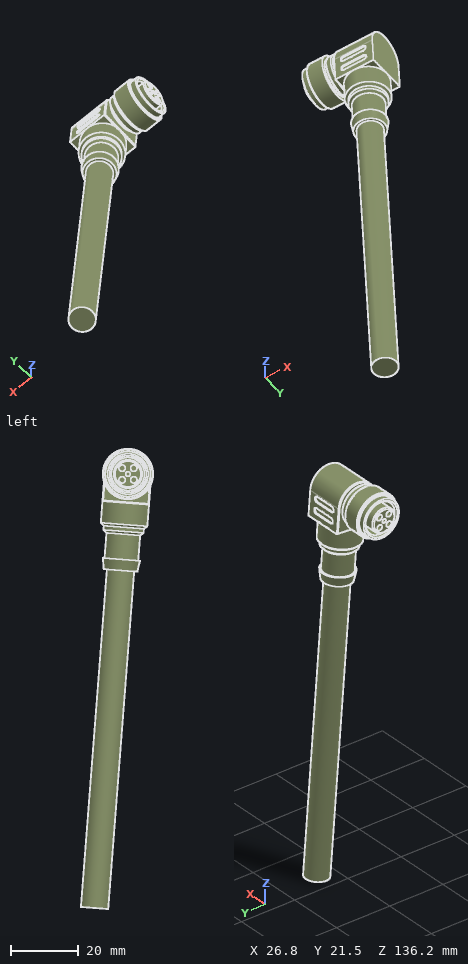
import cadquery as cq
import math


tilt = 4.4
housing_radius = 7.0
block_depth = 8.6
housing_chamfer = 0.3
nose_radius = 4.9
nose_end = -12.3

shoulder_radius = 6.0
sleeve_radius = 5.0
collar_radius = 5.6
tail_end_drop = 15.0
shoulder_top_drop = 15.8
shoulder_end_drop = 17.0
sleeve_top_drop = 17.8
collar_drop = 25.3
boot_end_drop = 28.6

slot_length = 9.0
slot_width = 1.9
slot_depth = 0.4
slot_drops = (1.6, 5.5)

nut_front = -18.4
grip_front = -16.4
grip_end = -10.6
groove_end = -9.8
rear_ring_end = -8.2
nut_rear = -7.8
grip_radius = 7.5
nut_radius = 6.7
groove_radius = 6.3
nut_rear_radius = 6.1
nut_bore_radius = 5.5
grip_chamfer = 0.3
mouth_chamfer = 0.5

overall_height = 136.2
cable_radius = 4.1
cable_top_drop = sleeve_top_drop
slope = math.radians(tilt)
height_below_axis = overall_height - grip_radius
cable_end_drop = (height_below_axis - cable_radius * math.sin(slope)) / math.cos(slope)

insert_front = -19.8
insert_radius = 4.2
insert_chamfer = 0.4
contact_count = 4
contact_circle_radius = 2.5
contact_hole_radius = 1.0
centre_hole_radius = 0.7
contact_hole_depth = 4.1


def along_plug(start, end, radius):
    """Cylinder on the X axis."""
    return cq.Workplane("YZ").workplane(offset=start).circle(radius).extrude(end - start)


def turned_on_plug_axis(profile):
    """Revolve (x, radius) points round the X axis."""
    return cq.Workplane("XY").polyline(profile).close().revolve(360, (0, 0, 0), (1, 0, 0))


def tilted(body):
    """Turn a body built straight down -Z to the slope of the cable."""
    return body.rotate((0, 0, 0), (1, 0, 0), tilt)


def make_block():
    """Round-topped block with grip slots in both flat sides."""
    block = (
        cq.Workplane("YZ")
        .workplane(offset=-housing_radius)
        .moveTo(-housing_radius, -block_depth)
        .lineTo(-housing_radius, 0)
        .threePointArc((0, housing_radius), (housing_radius, 0))
        .lineTo(housing_radius, -block_depth)
        .close()
        .extrude(2 * housing_radius)
        .faces("<X").chamfer(housing_chamfer)
    )
    for drop in slot_drops:
        slots = (
            cq.Workplane("XZ")
            .center(0, -drop)
            .slot2D(slot_length, slot_width)
            .extrude(housing_radius, both=True)
        )
        core = cq.Workplane("XY").box(
            2 * housing_radius, 2 * (housing_radius - slot_depth), 2 * block_depth
        )
        block = block.cut(slots.cut(core))
    return block


def make_tail():
    """Stepped tail and cable boot below the block, with the socket for the cable."""
    profile = [
        (0, -block_depth),
        (housing_radius, -block_depth),
        (housing_radius, -tail_end_drop),
        (shoulder_radius, -shoulder_top_drop),
        (shoulder_radius, -shoulder_end_drop),
        (sleeve_radius, -sleeve_top_drop),
        (sleeve_radius, -collar_drop),
        (collar_radius, -collar_drop),
        (sleeve_radius, -boot_end_drop),
        (cable_radius, -boot_end_drop),
        (cable_radius, -cable_top_drop),
        (0, -cable_top_drop),
    ]
    tail = cq.Workplane("XZ").polyline(profile).close().revolve(360, (0, 0, 0), (0, 1, 0))
    return tail


def make_housing():
    nose = along_plug(nose_end, 0, nose_radius)
    return tilted(make_block().union(make_tail())).union(nose)


def make_cable():
    cable = (
        cq.Workplane("XY")
        .workplane(offset=-cable_end_drop)
        .circle(cable_radius)
        .extrude(cable_end_drop - cable_top_drop)
    )
    return tilted(cable)


def make_nut():
    profile = [
        (nut_front, nut_bore_radius + mouth_chamfer),
        (nut_front, nut_radius),
        (grip_front, nut_radius),
        (grip_front, grip_radius - grip_chamfer),
        (grip_front + grip_chamfer, grip_radius),
        (grip_end, grip_radius),
        (grip_end, groove_radius),
        (groove_end, groove_radius),
        (groove_end, nut_radius),
        (rear_ring_end, nut_radius),
        (nut_rear, nut_rear_radius),
        (nut_rear, nose_radius),
        (nose_end, nose_radius),
        (nose_end, nut_bore_radius),
        (nut_front + mouth_chamfer, nut_bore_radius),
    ]
    return turned_on_plug_axis(profile)


def make_insert():
    """Contact carrier with a ring of contact holes round a centre hole."""
    insert = along_plug(insert_front, nose_end, insert_radius).faces("<X").chamfer(insert_chamfer)
    holes = (
        cq.Workplane("YZ")
        .workplane(offset=insert_front)
        .polarArray(contact_circle_radius, 180 / contact_count, 360, contact_count)
        .circle(contact_hole_radius)
        .extrude(contact_hole_depth)
    )
    centre_hole = along_plug(insert_front, insert_front + contact_hole_depth, centre_hole_radius)
    return insert.cut(holes).cut(centre_hole)


housing = make_housing()
cable = make_cable()
nut = make_nut()
insert = make_insert()

result = cq.Compound.makeCompound([housing.val(), cable.val(), nut.val(), insert.val()])